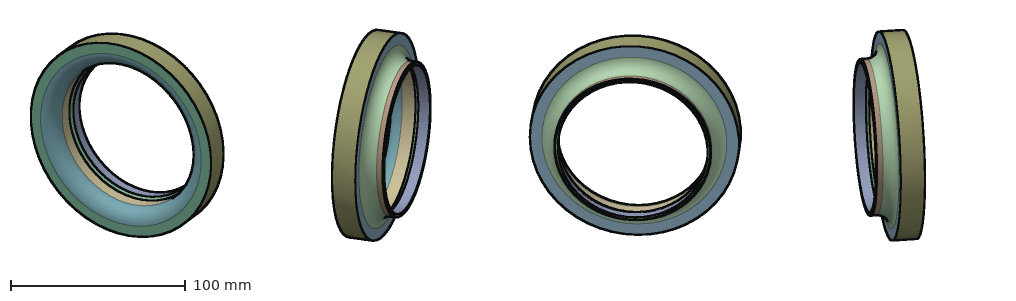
import cadquery as cq
import math

flange_radius = 60.0
length = 26.0
flange_thickness = 14.0
neck_radius = 45.0
neck_fillet = 8.0
neck_chamfer = 0.5
throat_radius = 44.4
mouth_round = 9.0
bore_radius = 43.0
bore_depth = 7.0
cone_length = 2.2

diagonal = math.sqrt(0.5)
mouth_radius = throat_radius + mouth_round
fillet_center_radius = neck_radius + neck_fillet
fillet_end = flange_thickness + neck_fillet
bore_start = length - bore_depth
cone_start = bore_start - cone_length

fillet_middle = (
    fillet_center_radius - neck_fillet * diagonal,
    fillet_end - neck_fillet * diagonal,
)
mouth_middle = (
    mouth_radius - mouth_round * diagonal,
    mouth_round - mouth_round * diagonal,
)

section = (
    cq.Workplane("XY")
    .moveTo(mouth_radius, 0)
    .lineTo(flange_radius, 0)
    .lineTo(flange_radius, flange_thickness)
    .lineTo(fillet_center_radius, flange_thickness)
    .threePointArc(fillet_middle, (neck_radius, fillet_end))
    .lineTo(neck_radius, length - neck_chamfer)
    .lineTo(neck_radius - neck_chamfer, length)
    .lineTo(bore_radius, length)
    .lineTo(bore_radius, bore_start)
    .lineTo(throat_radius, cone_start)
    .lineTo(throat_radius, mouth_round)
    .threePointArc(mouth_middle, (mouth_radius, 0))
    .close()
)

result = section.revolve(360, (0, 0, 0), (0, 1, 0))